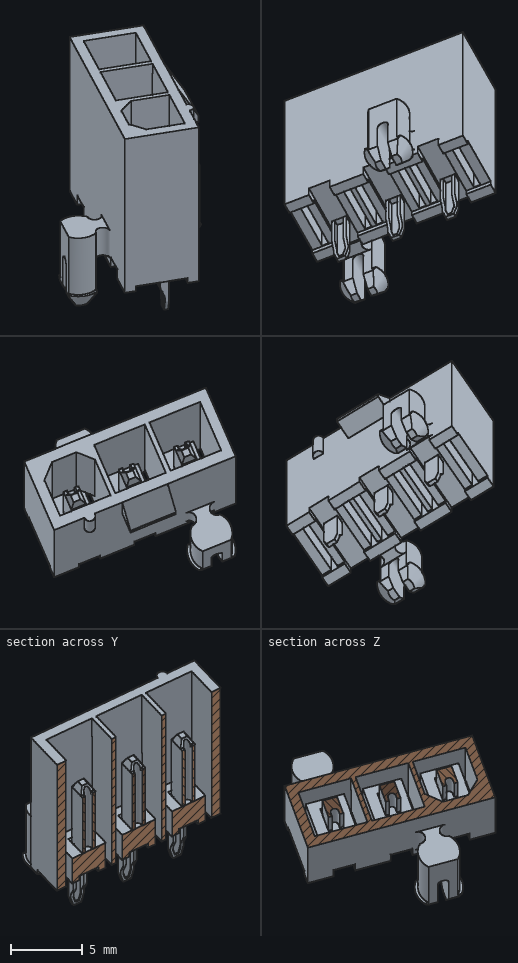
import cadquery as cq
import math


PITCH = 4.2
WAY_XS = [-PITCH, 0, PITCH]

HOUSING_LENGTH = 13.8
HOUSING_DEPTH = 5.4
HOUSING_HEIGHT = 12.8
WALL = 0.8
HALF_DEPTH = HOUSING_DEPTH / 2

CAVITY_WIDTH = 3.84
CAVITY_FRONT_Y = WALL - HALF_DEPTH
CAVITY_BACK_Y = HALF_DEPTH - WALL
BACK_WALL_DRAFT = 0.06
KEYED_CORNER = 1.0
FLOOR_TOP_Z = 2.9
FLOOR_BRIDGE_WIDTH = 2.82

CHANNEL_HEIGHT = 0.4
NOTCH_HEIGHT = 0.8
NOTCH_WIDTH = 1.6

LATCH_WIDTH = 3.45
LATCH_REACH = 1.5
LATCH_HEIGHT = 3.0
LATCH_RAMP_HEIGHT = 2.5
RIB_RADIUS = 0.4

BACK_PEG_X = -PITCH
FRONT_PEG_X = PITCH / 2
PEG_RADIUS = 1.47
PEG_HALF_DEPTH = 1.0
PEG_TOP_Z = FLOOR_TOP_Z
BARB_RADIUS = 1.7
BARB_TIP_RADIUS = 0.93
BARB_TOP_Z = -1.8
PEG_CHAMFER_TOP_Z = -2.07
PEG_TIP_Z = -3.05
BACK_PEG_TIP_HALF_DEPTH = 0.32
FRONT_PEG_TIP_HALF_DEPTH = 0.42
PEG_SLOT_WIDTH = 0.8
PEG_SLOT_TOP_Z = 0.57

NECK_LENGTH = 1.0
NECK_END_HALF_WIDTH = 1.05
NECK_BOTTOM_Z = 0.6
PEG_OFFSET_Y = HALF_DEPTH + NECK_LENGTH + PEG_HALF_DEPTH

PIN_WIDTH = 1.12
TAIL_FRONT_Y = 0.52
TAIL_BACK_Y = 1.16
TAIL_THIN = 0.3
TAIL_THINNING_TOP_Z = -1.56
TAIL_THINNING_BOTTOM_Z = -2.32
TAIL_BEND_RADIUS = 0.6
TAIL_TIP_Z = -3.5
TAIL_TAPER_Z = -2.7
TAIL_TIP_HALF_WIDTH = 0.33
TAIL_RIM = 0.235
TAIL_WEB = 0.2

BLADE_BACK_Y = 0.73
BLADE_FRONT_Y = -0.73
PRONG_LENGTH = 0.33
BLADE_HEIGHT = 5.5
POINT_HEIGHT = 0.6
POINT_INSET = 0.3
BLADE_SLOT_RADIUS = 0.27
BLADE_SLOT_END_Y = -0.17
PRONG_CHAMFER = 0.06
PRONG_CHAMFER_HEIGHT = 0.2


def box(x_min, x_max, y_min, y_max, z_min, z_max):
    """Box given by its limits along each axis."""
    size = (x_max - x_min, y_max - y_min, z_max - z_min)
    return cq.Workplane("XY").box(*size, centered=False).translate((x_min, y_min, z_min))


def centred_box(x, width, y_min, y_max, z_min, z_max):
    """Box centred on x, given by its width and its limits along Y and Z."""
    return box(x - width / 2, x + width / 2, y_min, y_max, z_min, z_max)


def cavity(x, keyed):
    """Pocket from the top down to the floor, with a drafted back wall."""
    pocket = (
        cq.Workplane("YZ")
        .polyline([
            (CAVITY_FRONT_Y, FLOOR_TOP_Z),
            (CAVITY_BACK_Y - BACK_WALL_DRAFT, FLOOR_TOP_Z),
            (CAVITY_BACK_Y, HOUSING_HEIGHT),
            (CAVITY_FRONT_Y, HOUSING_HEIGHT),
        ])
        .close()
        .extrude(CAVITY_WIDTH / 2, both=True)
    )
    if keyed:
        pocket = pocket.faces("<Y").edges("|Z").chamfer(KEYED_CORNER)
    return pocket.translate((x, 0, 0))


def floor_windows(x):
    """Openings through the floor on both sides of the bridge that carries the pin."""
    opening = centred_box(
        x, CAVITY_WIDTH, CAVITY_FRONT_Y, CAVITY_BACK_Y - BACK_WALL_DRAFT, 0, FLOOR_TOP_Z
    )
    bridge = centred_box(x, FLOOR_BRIDGE_WIDTH, -HALF_DEPTH, HALF_DEPTH, 0, FLOOR_TOP_Z)
    return opening.cut(bridge)


def pin_hole(x):
    """Hole through the floor that the pin's shank fills."""
    return centred_box(x, PIN_WIDTH, TAIL_FRONT_Y, TAIL_BACK_Y, 0, FLOOR_TOP_Z)


def underside_notch(x):
    """Notch across the whole underside below one way."""
    return centred_box(x, NOTCH_WIDTH, -HALF_DEPTH, HALF_DEPTH, 0, NOTCH_HEIGHT)


def latch():
    """Ramp on the back wall, widening from the top edge down to the catch."""
    catch_z = HOUSING_HEIGHT - LATCH_HEIGHT
    return (
        cq.Workplane("YZ")
        .polyline([
            (HALF_DEPTH, HOUSING_HEIGHT),
            (HALF_DEPTH + LATCH_REACH, HOUSING_HEIGHT - LATCH_RAMP_HEIGHT),
            (HALF_DEPTH + LATCH_REACH, catch_z),
            (HALF_DEPTH, catch_z),
        ])
        .close()
        .extrude(LATCH_WIDTH / 2, both=True)
    )


def polarising_rib():
    """Rounded rib on the back wall, as tall as the latch."""
    return (
        cq.Workplane("XY", origin=(PITCH, HALF_DEPTH, HOUSING_HEIGHT - LATCH_HEIGHT))
        .circle(RIB_RADIUS)
        .extrude(LATCH_HEIGHT)
    )


def barb():
    """Cone below the peg's round shaft, wider than the shaft at its top."""
    return (
        cq.Workplane("XZ")
        .polyline([
            (0, BARB_TOP_Z),
            (BARB_RADIUS, BARB_TOP_Z),
            (BARB_TIP_RADIUS, PEG_TIP_Z),
            (0, PEG_TIP_Z),
        ])
        .close()
        .revolve(360, (0, 0, 0), (0, 1, 0))
    )


def peg_envelope(tip_half_depth):
    """Flat-sided slab with a tapered tip, which trims the round peg front and back."""
    return (
        cq.Workplane("YZ")
        .polyline([
            (-PEG_HALF_DEPTH, PEG_TOP_Z),
            (PEG_HALF_DEPTH, PEG_TOP_Z),
            (PEG_HALF_DEPTH, PEG_CHAMFER_TOP_Z),
            (tip_half_depth, PEG_TIP_Z),
            (-tip_half_depth, PEG_TIP_Z),
            (-PEG_HALF_DEPTH, PEG_CHAMFER_TOP_Z),
        ])
        .close()
        .extrude(BARB_RADIUS, both=True)
    )


def peg_slot():
    """Round-topped slot from the tip upward, splitting the peg into two legs."""
    radius = PEG_SLOT_WIDTH / 2
    arc_z = PEG_SLOT_TOP_Z - radius
    return (
        cq.Workplane("XZ")
        .moveTo(-radius, PEG_TIP_Z)
        .lineTo(-radius, arc_z)
        .threePointArc((0, PEG_SLOT_TOP_Z), (radius, arc_z))
        .lineTo(radius, PEG_TIP_Z)
        .close()
        .extrude(PEG_HALF_DEPTH, both=True)
    )


def neck():
    """Waisted web from the peg's flat to the housing wall, on the peg's +Y side."""
    side_radius = NECK_LENGTH / 2
    mid_y = PEG_HALF_DEPTH + side_radius
    web = centred_box(
        0, 2 * NECK_END_HALF_WIDTH, 0, PEG_HALF_DEPTH + NECK_LENGTH, NECK_BOTTOM_Z, PEG_TOP_Z
    )
    hollows = (
        cq.Workplane("XY", origin=(0, 0, NECK_BOTTOM_Z))
        .pushPoints([(-NECK_END_HALF_WIDTH, mid_y), (NECK_END_HALF_WIDTH, mid_y)])
        .circle(side_radius)
        .extrude(PEG_TOP_Z - NECK_BOTTOM_Z)
    )
    return web.cut(hollows)


def board_lock(tip_half_depth):
    """Split peg centred on the Z axis, with its neck toward +Y."""
    shaft = (
        cq.Workplane("XY", origin=(0, 0, BARB_TOP_Z))
        .circle(PEG_RADIUS)
        .extrude(PEG_TOP_Z - BARB_TOP_Z)
    )
    peg = shaft.union(barb()).intersect(peg_envelope(tip_half_depth)).cut(peg_slot())
    return peg.union(neck())


def build_housing():
    body = centred_box(0, HOUSING_LENGTH, -HALF_DEPTH, HALF_DEPTH, 0, HOUSING_HEIGHT)
    body = body.union(polarising_rib()).union(latch())

    underside_channel = centred_box(
        0, HOUSING_LENGTH, CAVITY_FRONT_Y, CAVITY_BACK_Y, 0, CHANNEL_HEIGHT
    )
    body = body.cut(underside_channel)
    for x in WAY_XS:
        is_last_way = x == WAY_XS[-1]
        body = body.cut(cavity(x, keyed=is_last_way))
        body = body.cut(floor_windows(x))
        body = body.cut(underside_notch(x))
        body = body.cut(pin_hole(x))

    front_lock = board_lock(FRONT_PEG_TIP_HALF_DEPTH).translate((FRONT_PEG_X, -PEG_OFFSET_Y, 0))
    back_lock = (
        board_lock(BACK_PEG_TIP_HALF_DEPTH)
        .rotate((0, 0, 0), (0, 0, 1), 180)
        .translate((BACK_PEG_X, PEG_OFFSET_Y, 0))
    )
    return body.union(front_lock).union(back_lock)


def tapered_strip(half_width, top_z, taper_z, tip_half_width, tip_z, y_front, y_back):
    """Upright strip that narrows to a blunt tip, from y_front to y_back."""
    return (
        cq.Workplane("XZ", origin=(0, y_back, 0))
        .polyline([
            (-half_width, top_z),
            (half_width, top_z),
            (half_width, taper_z),
            (tip_half_width, tip_z),
            (-tip_half_width, tip_z),
            (-half_width, taper_z),
        ])
        .close()
        .extrude(y_back - y_front)
    )


def solder_tail():
    """Shank through the floor and the grooved tail that thins toward its tip."""
    half_width = PIN_WIDTH / 2
    thin_y = TAIL_BACK_Y - TAIL_THIN
    side_profile = (
        cq.Workplane("YZ")
        .polyline([
            (TAIL_BACK_Y, FLOOR_TOP_Z),
            (TAIL_FRONT_Y, FLOOR_TOP_Z),
            (TAIL_FRONT_Y, TAIL_THINNING_TOP_Z),
            (thin_y, TAIL_THINNING_BOTTOM_Z),
            (thin_y, TAIL_TIP_Z),
            (TAIL_BACK_Y, TAIL_TIP_Z),
        ])
        .close()
        .extrude(half_width, both=True)
    )
    for bend in [(0, TAIL_FRONT_Y, TAIL_THINNING_TOP_Z), (0, thin_y, TAIL_THINNING_BOTTOM_Z)]:
        side_profile = side_profile.edges(cq.NearestToPointSelector(bend)).fillet(TAIL_BEND_RADIUS)

    outline = tapered_strip(
        half_width, FLOOR_TOP_Z, TAIL_TAPER_Z, TAIL_TIP_HALF_WIDTH, TAIL_TIP_Z,
        TAIL_FRONT_Y, TAIL_BACK_Y,
    )

    taper_angle = math.atan2(half_width - TAIL_TIP_HALF_WIDTH, TAIL_TAPER_Z - TAIL_TIP_Z)
    groove_half_width = half_width - TAIL_RIM
    groove_tip_z = TAIL_TIP_Z + TAIL_RIM
    groove_taper_z = TAIL_TAPER_Z + TAIL_RIM * math.tan(taper_angle / 2)
    groove_tip_half_width = groove_half_width - (groove_taper_z - groove_tip_z) * math.tan(taper_angle)
    groove = tapered_strip(
        groove_half_width, NOTCH_HEIGHT, groove_taper_z, groove_tip_half_width, groove_tip_z,
        TAIL_FRONT_Y, TAIL_BACK_Y - TAIL_WEB,
    )
    return side_profile.intersect(outline).cut(groove)


def mating_blade():
    """Blade standing on the floor, slotted at the front and pointed at the top."""
    point_base_z = FLOOR_TOP_Z + BLADE_HEIGHT
    prong_back_y = BLADE_FRONT_Y + PRONG_LENGTH
    point_depth = BLADE_BACK_Y - prong_back_y
    blade = centred_box(0, PIN_WIDTH, BLADE_FRONT_Y, BLADE_BACK_Y, FLOOR_TOP_Z, point_base_z)
    blade = blade.faces(">Z").edges("<Y").chamfer(PRONG_CHAMFER_HEIGHT, PRONG_CHAMFER)

    point = (
        cq.Workplane("XY", origin=(0, prong_back_y + point_depth / 2, point_base_z))
        .rect(PIN_WIDTH, point_depth)
        .workplane(offset=POINT_HEIGHT)
        .rect(PIN_WIDTH - 2 * POINT_INSET, point_depth - 2 * POINT_INSET)
        .loft(ruled=True)
    )
    arc_y = BLADE_SLOT_END_Y - BLADE_SLOT_RADIUS
    slot = (
        cq.Workplane("XY", origin=(0, 0, FLOOR_TOP_Z))
        .moveTo(-BLADE_SLOT_RADIUS, BLADE_FRONT_Y)
        .lineTo(-BLADE_SLOT_RADIUS, arc_y)
        .threePointArc((0, BLADE_SLOT_END_Y), (BLADE_SLOT_RADIUS, arc_y))
        .lineTo(BLADE_SLOT_RADIUS, BLADE_FRONT_Y)
        .close()
        .extrude(BLADE_HEIGHT + POINT_HEIGHT)
    )

    flare_half_width = BLADE_SLOT_RADIUS + PRONG_CHAMFER
    flare_bottom_z = point_base_z - PRONG_CHAMFER_HEIGHT
    flare = (
        cq.Workplane("XZ", origin=(0, prong_back_y, 0))
        .polyline([
            (-BLADE_SLOT_RADIUS, flare_bottom_z),
            (BLADE_SLOT_RADIUS, flare_bottom_z),
            (flare_half_width, point_base_z),
            (-flare_half_width, point_base_z),
        ])
        .close()
        .extrude(PRONG_LENGTH)
    )
    return blade.union(point).cut(slot).cut(flare)


def build_contact_pin(x):
    return solder_tail().union(mating_blade()).translate((x, 0, 0))


housing = build_housing()
contact_pins = [build_contact_pin(x) for x in WAY_XS]

result = cq.Compound.makeCompound([housing.solids().val(), *[pin.solids().val() for pin in contact_pins]])